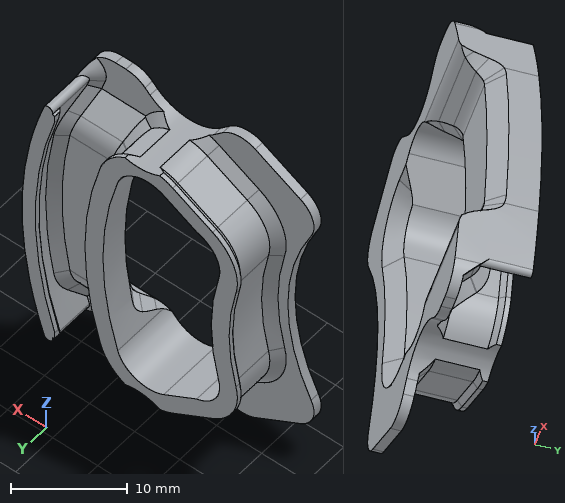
import cadquery as cq
import math

total_depth = 7.0
flange_thickness = 1.0
flange_flank_width = 6.58
flange_left_width = 3.6
outer_radius = 47.0
outer_apex_x = 13.75
notch_x = 0.9
notch_vertex_z = 12.65
notch_radius = 5.0
lobe_top_z = 17.62
lobe_radius = 3.0

opening_left_radius = 27.5
opening_left_apex_x = -7.25
opening_right_radius = 38.0
opening_corner_radius = 3.5
flank_angle = 30.0
flank_point = (-1.87, 13.14)
collar_thickness = 1.5
ramp_size = 1.0
lip_size = 0.5
lip_height = 0.5

step_depth = 2.5
step_back_y = 4.0
step_front_half_height = 12.28
step_front_radius = 2.4
step_back_half_height = 13.1
step_back_radius = 3.0

funnel_size = 1.5
funnel_half_height = 12.59
rim_pocket_half_height = 12.3
rim_pocket_radius = 3.0

rim_thickness = 1.0
rim_end_z = 15.0
rim_lip_end_x = 10.1

left_centre_x = opening_left_apex_x - opening_left_radius
right_centre_x = outer_apex_x - outer_radius
opening_right_apex_x = right_centre_x + opening_right_radius
collar_right_x = opening_right_apex_x + collar_thickness
flank = math.radians(flank_angle)
step_angle = math.radians(45)
step_front_foot = step_front_half_height - step_front_radius * math.tan(step_angle / 2)
rim_inner_radius = outer_radius - rim_thickness
rim_ramp_size = ramp_size + rim_thickness
reach = 40.0
selection_margin = 0.1


def mirrored(point):
    return (point[0], -point[1])


def arc_point(centre_x, radius, z):
    """Point at height z on the right half of a circle centred on the X axis."""
    return (centre_x + math.sqrt(radius ** 2 - z ** 2), z)


def flank_line(growth):
    """A point on the opening's straight upper left edge moved outward by growth."""
    return (flank_point[0] - growth * math.sin(flank), flank_point[1] + growth * math.cos(flank))


def flank_meets_circle(growth, centre_x, radius):
    """Upper right crossing of the grown straight edge with a circle centred on the X axis."""
    x, z = flank_line(growth)
    along = (x - centre_x) * math.cos(flank) + z * math.sin(flank)
    power = (x - centre_x) ** 2 + z ** 2 - radius ** 2
    distance = -along + math.sqrt(along ** 2 - power)
    return (x + distance * math.cos(flank), z + distance * math.sin(flank))


def plane_at(y):
    """Sketch plane with local axes X and Z; a negative extrusion runs toward +Y."""
    return cq.Workplane(cq.Plane(origin=(0, y, 0), xDir=(1, 0, 0), normal=(0, -1, 0)))


def block(x0, x1, y0, y1):
    """Box between two X and two Y positions that is taller than the part in Z."""
    box = cq.Workplane("XY").box(x1 - x0, y1 - y0, 2 * reach, centered=False)
    return box.translate((x0, y0, -reach))


def two_arc_prism(top_left, top_right, left_radius, right_radius, y0, y1):
    """Prism between the concave left arc and the right arc, with straight top and bottom."""
    outline = (
        plane_at(y0)
        .moveTo(*top_left)
        .lineTo(*top_right)
        .threePointArc((right_centre_x + right_radius, 0), mirrored(top_right))
        .lineTo(*mirrored(top_left))
        .threePointArc((left_centre_x + left_radius, 0), top_left)
        .close()
    )
    return outline.extrude(y0 - y1).edges("|Y")


def chamfer_at(solid, x, y, size):
    """Chamfer the smooth chain of edges that crosses z = 0 at (x, y)."""
    return solid.edges(cq.selectors.NearestToPointSelector((x, y, 0))).chamfer(size)


def opening(growth, y0, y1):
    """Prism of the opening's outline, grown outward, between two depths."""
    left_radius = opening_left_radius - growth
    right_radius = opening_right_radius + growth
    top_left = flank_meets_circle(growth, left_centre_x, left_radius)
    top_right = flank_meets_circle(growth, right_centre_x, right_radius)
    corners = two_arc_prism(top_left, top_right, left_radius, right_radius, y0, y1)
    return corners.fillet(opening_corner_radius + growth)


def flange_outline():
    """Prism of the flange's outer edge over the full depth."""
    left_radius = opening_left_radius - flange_left_width
    left_corner = flank_meets_circle(flange_flank_width, left_centre_x, left_radius)
    flank_x, flank_z = flank_line(flange_flank_width)
    slope = math.tan(flank)
    lobe_x = (notch_x + notch_vertex_z - flank_z + slope * flank_x) / (1 + slope)
    upper = [
        left_corner,
        (lobe_x, notch_x + notch_vertex_z - lobe_x),
        (notch_x, notch_vertex_z),
        (notch_x + lobe_top_z - notch_vertex_z, lobe_top_z),
        arc_point(right_centre_x, outer_radius, lobe_top_z),
    ]
    lower = [mirrored(point) for point in reversed(upper)]
    outline = (
        plane_at(0)
        .polyline(upper)
        .threePointArc((outer_apex_x, 0), lower[0])
        .polyline(lower[1:], includeCurrent=True)
        .threePointArc((left_centre_x + left_radius, 0), left_corner)
        .close()
        .extrude(-total_depth)
    )
    notch_edges = cq.selectors.BoxSelector(
        (notch_x - selection_margin, 0, -reach),
        (notch_x + selection_margin, total_depth, reach),
    )
    depth_edges = cq.selectors.ParallelDirSelector(cq.Vector(0, 1, 0))
    outline = outline.edges(depth_edges - notch_edges).fillet(lobe_radius)
    return outline.edges(depth_edges & notch_edges).fillet(notch_radius)


def ridge(foot_y, foot_half_height, top_y, top_radius, foot_radius=None):
    """Prism along X with a rounded flat top at top_y and 45 degree sides.

    With a foot_radius the sides round into a flat at foot_y; without one they run straight on.
    """
    top_half_height = foot_half_height - (top_y - foot_y) / math.tan(step_angle)
    skirt = 2 * total_depth
    if foot_radius is None:
        sides = [(foot_y - skirt, foot_half_height + skirt / math.tan(step_angle))]
    else:
        sides = [(foot_y - skirt, reach), (foot_y, reach), (foot_y, foot_half_height)]
    upper = sides + [(top_y, top_half_height)]
    lower = [mirrored(point) for point in reversed(upper)]
    solid = cq.Workplane("YZ").polyline(upper + lower).close().extrude(reach, both=True)

    def long_edges(y, half_height):
        bound = half_height + selection_margin
        near = cq.selectors.BoxSelector(
            (-reach, y - selection_margin, -bound), (reach, y + selection_margin, bound)
        )
        return cq.selectors.ParallelDirSelector(cq.Vector(1, 0, 0)) & near

    solid = solid.edges(long_edges(top_y, top_half_height)).fillet(top_radius)
    if foot_radius is not None:
        solid = solid.edges(long_edges(foot_y, foot_half_height)).fillet(foot_radius)
    return solid


def collar():
    """Filled tube around the opening with an outward lip at its back end."""
    lip_y = total_depth - lip_height
    lip_growth = collar_thickness + lip_size
    tube = opening(collar_thickness, 0, total_depth)
    lip = opening(lip_growth, lip_y, total_depth)
    ramp_start = opening(collar_thickness, lip_y - lip_size, total_depth).faces("<Y").wires().val()
    ramp_end = lip.faces("<Y").wires().val()
    ramp = cq.Workplane(cq.Solid.makeLoft([ramp_start, ramp_end], True))
    return tube.union(ramp).union(lip)


def outside_rim():
    """Everything to the right of the flange's right edge."""
    front_y = -2 * total_depth
    cylinder = (
        plane_at(front_y)
        .center(right_centre_x, 0)
        .circle(outer_radius)
        .extrude(front_y - total_depth)
    )
    return block(0, reach, front_y, total_depth).cut(cylinder)


def rim_sector():
    """Wedge from the centre of the right edge's arc past the two ends of the rim wall."""
    end_x, end_z = arc_point(right_centre_x, outer_radius, rim_end_z)
    far_end = (2 * end_x - right_centre_x, 2 * end_z)
    corners = [(right_centre_x, 0), far_end, mirrored(far_end)]
    return plane_at(-2 * total_depth).polyline(corners).close().extrude(-4 * total_depth)


def rim_wall():
    """Thin wall along the right edge with round ends."""
    end_angle = math.asin(rim_end_z / outer_radius)
    tip_angle = end_angle + rim_thickness / 2 / outer_radius

    def polar(radius, angle):
        return (right_centre_x + radius * math.cos(angle), radius * math.sin(angle))

    tip = polar(outer_radius - rim_thickness / 2, tip_angle)
    outer_end = polar(outer_radius, end_angle)
    inner_end = polar(rim_inner_radius, end_angle)
    return (
        plane_at(0)
        .moveTo(*outer_end)
        .threePointArc(tip, inner_end)
        .threePointArc((right_centre_x + rim_inner_radius, 0), mirrored(inner_end))
        .threePointArc(mirrored(tip), mirrored(outer_end))
        .threePointArc((outer_apex_x, 0), outer_end)
        .close()
        .extrude(-total_depth)
    )


def rim_lip():
    """Lip on the inner side of the rim wall at its back end."""
    lip_radius = rim_inner_radius - lip_size
    lip_y = total_depth - lip_height
    section = [
        (rim_inner_radius, lip_y - lip_size),
        (lip_radius, lip_y),
        (lip_radius, total_depth),
        (rim_inner_radius, total_depth),
    ]
    ring = cq.Workplane("XY").polyline(section).close().revolve(360, (0, 0, 0), (0, 1, 0))
    span = block(rim_lip_end_x, reach, 0, total_depth).intersect(rim_sector())
    return ring.translate((right_centre_x, 0, 0)).intersect(span)


def rim_ramp_ends():
    """Cones that round off the rim ramp at the two ends of the rim wall."""
    x, z = arc_point(right_centre_x, outer_radius, rim_end_z)
    cones = cq.Workplane("XY")
    for end_z in (z, -z):
        base = cq.Vector(x, flange_thickness, end_z)
        cones = cones.add(cq.Solid.makeCone(rim_ramp_size, 0, rim_ramp_size, base, cq.Vector(0, 1, 0)))
    return cones.combine()


def ramped_sheet(sheet, sheet_y):
    """A sheet with 45 degree ramps climbing to the collar and to the right edge.

    sheet_y is the depth of the sheet's back face at z = 0.
    """
    with_collar = sheet.union(opening(collar_thickness, -total_depth, total_depth))
    with_collar = chamfer_at(with_collar, collar_right_x, sheet_y, ramp_size)
    with_collar = with_collar.intersect(block(-reach, reach, -total_depth, sheet_y + ramp_size))
    with_rim = chamfer_at(sheet.union(outside_rim()), outer_apex_x, sheet_y, rim_ramp_size)
    return with_collar.union(with_rim.intersect(rim_sector()))


def flat_sheet():
    return ramped_sheet(block(-reach, reach, 0, flange_thickness), flange_thickness)


def stepped_sheet():
    hump = ridge(flange_thickness, step_back_half_height, step_back_y, step_back_radius)
    return ramped_sheet(hump, step_back_y).intersect(block(0, reach, 0, total_depth))


def funnel_pocket():
    """Prism whose front edge is chamfered into the funnel around the opening."""
    half_height = funnel_half_height - funnel_size
    top_left = arc_point(left_centre_x, opening_left_radius, half_height)
    top_right = arc_point(right_centre_x, opening_right_radius, half_height)
    corners = two_arc_prism(
        top_left, top_right, opening_left_radius, opening_right_radius, 0, total_depth
    )
    return corners.fillet(opening_corner_radius)


def rim_pocket():
    """Prism beyond the right edge whose front edge is chamfered along the step."""
    half_height = rim_pocket_half_height - funnel_size
    corner = arc_point(right_centre_x, outer_radius, half_height)
    outline = (
        plane_at(0)
        .moveTo(reach, half_height)
        .lineTo(*corner)
        .threePointArc((outer_apex_x, 0), mirrored(corner))
        .lineTo(reach, -half_height)
        .close()
        .extrude(-total_depth)
    )
    return outline.edges("|Y and (not >X)").fillet(rim_pocket_radius - funnel_size)


def behind_front():
    """The space behind the front surface: flat on the left, stepped back on the right."""
    whole = block(-reach, reach, 0, total_depth)
    left = whole.cut(funnel_pocket())
    left = chamfer_at(left, opening_left_apex_x, 0, funnel_size)
    step = ridge(0, step_front_foot, step_depth, step_front_radius, step_front_radius)
    right = whole.cut(step).cut(funnel_pocket())
    right = chamfer_at(right, opening_right_apex_x, step_depth, funnel_size)
    right = chamfer_at(right.cut(rim_pocket()), outer_apex_x, step_depth, funnel_size)
    left = left.intersect(block(-reach, 0, 0, total_depth))
    right = right.intersect(block(0, reach, 0, total_depth))
    return left.union(right)


sheets = flat_sheet().union(stepped_sheet()).union(rim_ramp_ends())
walls = collar().union(rim_wall()).union(rim_lip())
body = sheets.intersect(flange_outline()).union(walls.intersect(flange_outline()))
result = body.intersect(behind_front()).cut(opening(0, 0, total_depth)).clean()